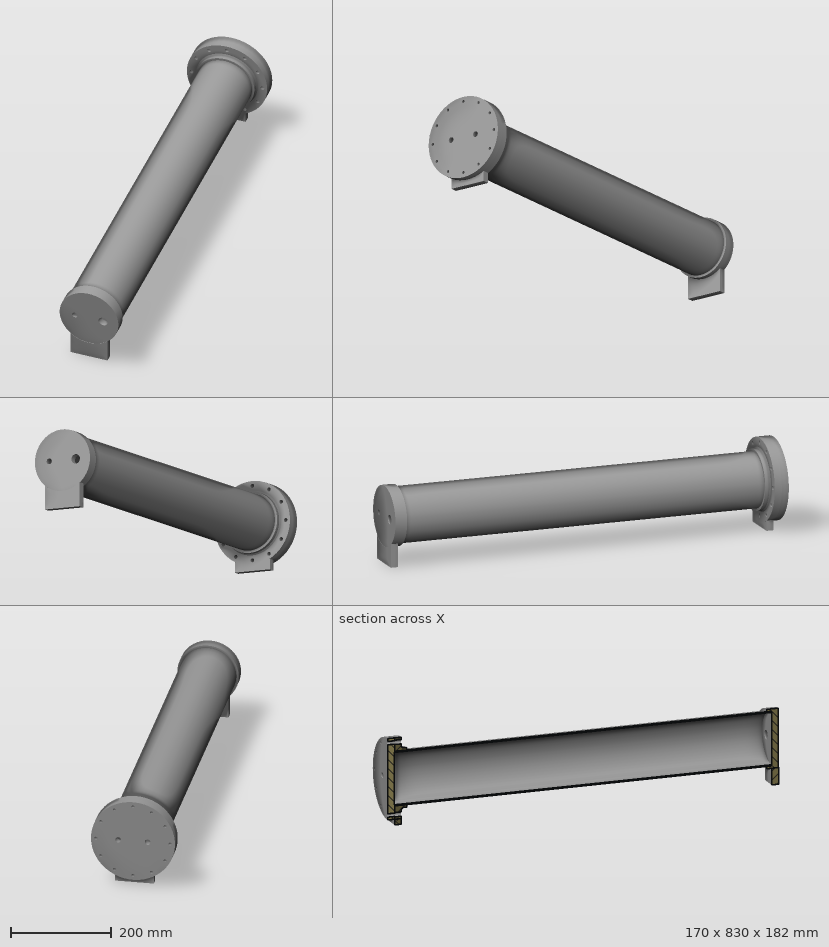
import cadquery as cq

TOTAL_LENGTH = 830.0
TOTAL_HEIGHT = 182.0
FOOT_WIDTH = 79.0
PLATE_THICKNESS = 15.0

TUBE_OUTER_DIAMETER = 114.5
TUBE_INNER_DIAMETER = 108.0

CAP_DIAMETER = 124.5
CAP_LENGTH = 25.0
CAP_FLOOR = PLATE_THICKNESS
FOOT_PROUD = 1.0
PORT_OFFSET = 30.0
SMALL_PORT_DIAMETER = 12.0
LARGE_PORT_DIAMETER = 19.0

FLANGE_DIAMETER = 170.0
COLLAR_DIAMETER = CAP_DIAMETER
COLLAR_LENGTH = 12.0
BEVEL_SIZE = 2.9
BOLT_COUNT = 12
BOLT_CIRCLE_DIAMETER = 150.0
FLANGE_BOLT_HOLE_DIAMETER = 8.0
COVER_BOLT_HOLE_DIAMETER = 6.0

foot_depth = TOTAL_HEIGHT - FLANGE_DIAMETER / 2

cap_front = FOOT_PROUD
tube_front = cap_front + CAP_FLOOR
cap_back = cap_front + CAP_LENGTH
cover_front = TOTAL_LENGTH - PLATE_THICKNESS
flange_front = cover_front - PLATE_THICKNESS


def cylinder(diameter, start, end):
    """Solid cylinder on the Y axis between two stations."""
    return cq.Workplane("XZ", origin=(0, start, 0)).circle(diameter / 2).extrude(start - end)


def holes(points, diameter, start, end):
    """Cutting cylinders parallel to Y at the given (x, z) points."""
    profile = cq.Workplane("XZ", origin=(0, start, 0)).pushPoints(points)
    return profile.circle(diameter / 2).extrude(start - end)


def bolt_holes(diameter, start, end):
    """Ring of bolt holes, with one hole on top."""
    ring = cq.Workplane("XZ", origin=(0, start, 0))
    ring = ring.polarArray(BOLT_CIRCLE_DIAMETER / 2, 0, 360, BOLT_COUNT)
    return ring.circle(diameter / 2).extrude(start - end)


def make_tube():
    outer = cylinder(TUBE_OUTER_DIAMETER, tube_front, cover_front)
    return outer.cut(cylinder(TUBE_INNER_DIAMETER, tube_front, cover_front))


def make_cap():
    """Front cap: a cup around the tube end, with a small and a large port."""
    cap = cylinder(CAP_DIAMETER, cap_front, cap_back)
    cap = cap.cut(cylinder(TUBE_OUTER_DIAMETER, tube_front, cap_back))
    cap = cap.cut(holes([(-PORT_OFFSET, 0)], SMALL_PORT_DIAMETER, cap_front, tube_front))
    return cap.cut(holes([(PORT_OFFSET, 0)], LARGE_PORT_DIAMETER, cap_front, tube_front))


def make_flange():
    """Rear flange with a beveled collar, bored to fit over the tube."""
    flange = cylinder(FLANGE_DIAMETER, flange_front, cover_front)
    bevel = cq.Workplane("XZ", origin=(0, flange_front, 0)).circle(COLLAR_DIAMETER / 2 + BEVEL_SIZE)
    flange = flange.union(bevel.extrude(BEVEL_SIZE, taper=45))
    collar_front = flange_front - COLLAR_LENGTH
    flange = flange.union(cylinder(COLLAR_DIAMETER, collar_front, flange_front))
    flange = flange.cut(cylinder(TUBE_OUTER_DIAMETER, collar_front, cover_front))
    return flange.cut(bolt_holes(FLANGE_BOLT_HOLE_DIAMETER, flange_front, cover_front))


def make_cover():
    """Rear cover disc with bolt holes and two equal ports."""
    cover = cylinder(FLANGE_DIAMETER, cover_front, TOTAL_LENGTH)
    cover = cover.cut(bolt_holes(COVER_BOLT_HOLE_DIAMETER, cover_front, TOTAL_LENGTH))
    ports = [(-PORT_OFFSET, 0), (PORT_OFFSET, 0)]
    return cover.cut(holes(ports, SMALL_PORT_DIAMETER, cover_front, TOTAL_LENGTH))


def make_foot(start, seat_diameter):
    """Foot plate whose top is hollowed to seat the round body above it."""
    end = start + PLATE_THICKNESS
    plate = cq.Workplane("XY").box(
        FOOT_WIDTH, PLATE_THICKNESS, foot_depth, centered=(True, False, False)
    )
    plate = plate.translate((0, start, -foot_depth))
    return plate.cut(cylinder(seat_diameter, start, end))


tube = make_tube()
cap = make_cap()
flange = make_flange()
cover = make_cover()
front_foot = make_foot(0, CAP_DIAMETER)
rear_foot = make_foot(flange_front, FLANGE_DIAMETER)

result = cq.Compound.makeCompound([
    tube.val(),
    cap.val(),
    flange.val(),
    cover.val(),
    front_foot.val(),
    rear_foot.val(),
])